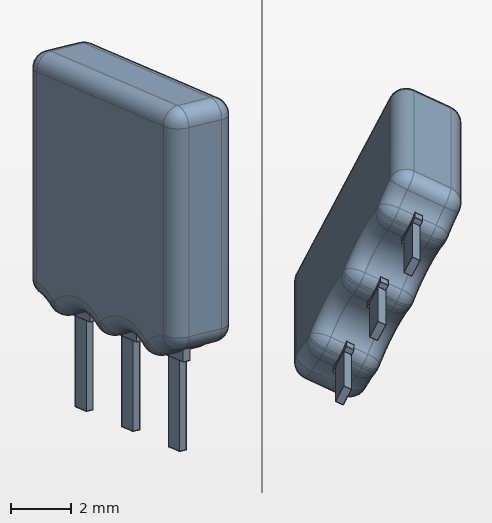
import cadquery as cq
import math

HEIGHT = 12.36
WIDTH = 8.13
DEPTH = 2.55
CORNER_RADIUS = 0.6
EDGE_RADIUS = 0.59
FOOT_Z = 3.42
FOOT_FLAT = 0.07
ARCH_RISE = 0.46

LEAD_COUNT = 3
PITCH = 2.55
LEAD_WIDTH = 0.62
LEAD_THICKNESS = 0.28
SHOULDER_WIDTH = 1.01
SHOULDER_BOTTOM = 3.18
SHOULDER_TOP = 4.33

lead_positions = [(i - (LEAD_COUNT - 1) / 2) * PITCH for i in range(LEAD_COUNT)]


def arch_z(x, cusp_z, crest_x):
    """Height of the scallop arc centred on crest_x, at position x."""
    half_span = (PITCH - FOOT_FLAT) / 2
    radius = (half_span**2 + ARCH_RISE**2) / (2 * ARCH_RISE)
    center_z = cusp_z + ARCH_RISE - radius
    return center_z + math.sqrt(radius**2 - (x - crest_x) ** 2)


def scalloped_outline():
    """Sharp inset outline, grown by CORNER_RADIUS so every outward corner becomes an arc."""
    half_width = WIDTH / 2 - CORNER_RADIUS
    top_z = HEIGHT - CORNER_RADIUS
    cusp_z = FOOT_Z + CORNER_RADIUS
    arch_starts = [-half_width] + [x + FOOT_FLAT / 2 for x in lead_positions]
    arch_ends = [x - FOOT_FLAT / 2 for x in lead_positions] + [half_width]
    crests = [lead_positions[0] - PITCH / 2] + [x + PITCH / 2 for x in lead_positions]

    start_z = arch_z(-half_width, cusp_z, crests[0])
    outline = cq.Workplane("XZ", origin=(0, DEPTH / 2, 0)).moveTo(-half_width, start_z)
    for left, right, crest in zip(arch_starts, arch_ends, crests):
        middle = (left + right) / 2
        outline = outline.threePointArc(
            (middle, arch_z(middle, cusp_z, crest)),
            (right, arch_z(right, cusp_z, crest)),
        )
        if right < half_width:
            outline = outline.lineTo(right + FOOT_FLAT, cusp_z)
    outline = outline.lineTo(half_width, top_z).lineTo(-half_width, top_z).close()
    return outline.offset2D(CORNER_RADIUS, "arc")


def make_shoulder(x):
    """Wide upper part of a lead, seated in the housing."""
    height = SHOULDER_TOP - SHOULDER_BOTTOM
    return (
        cq.Workplane("XY", origin=(x, 0, SHOULDER_BOTTOM))
        .rect(SHOULDER_WIDTH, LEAD_THICKNESS)
        .extrude(height)
    )


def make_lead(x):
    """Narrow pin hanging from the bottom of a shoulder."""
    return (
        cq.Workplane("XY", origin=(x, 0, 0))
        .rect(LEAD_WIDTH, LEAD_THICKNESS)
        .extrude(SHOULDER_BOTTOM)
    )


def make_housing(shoulders):
    """Rounded block with a scalloped underside and a fitted recess for each shoulder."""
    housing = scalloped_outline().extrude(DEPTH)
    housing = housing.faces("<Y or >Y").edges().fillet(EDGE_RADIUS)
    for shoulder in shoulders:
        housing = housing.cut(shoulder)
    return housing.solids()


shoulders = [make_shoulder(x) for x in lead_positions]
leads = [make_lead(x) for x in lead_positions]
housing = make_housing(shoulders)

result = cq.Compound.makeCompound(
    [
        housing.val(),
        *[shoulder.val() for shoulder in shoulders],
        *[lead.val() for lead in leads],
    ]
)